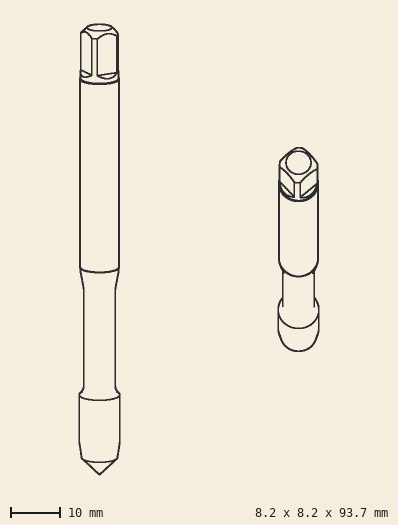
import cadquery as cq
import math

shank_d = 8.0
square_corner_d = 7.7
neck_d = 6.4
head_d = 8.2
tip_base_d = 7.3
top_face_d = 5.1
square_width = 6.2

total_length = 93.65
square_bottom_z = 84.7
shank_top_z = 82.9
shank_bottom_z = 43.55
taper_top_z = 42.4
taper_bottom_z = 38.8
flare_top_z = 18.7
head_top_z = 16.8
lead_top_z = 6.9

shank_r = shank_d / 2
collar_r = square_corner_d / 2
neck_r = neck_d / 2
head_r = head_d / 2
tip_base_r = tip_base_d / 2
top_face_r = top_face_d / 2
shank_chamfer = shank_r - collar_r
top_chamfer = collar_r - top_face_r
tip_height = tip_base_r

flare_height = flare_top_z - head_top_z
flare_width = head_r - neck_r
flare_r = (flare_height**2 + flare_width**2) / (2 * flare_width)
flare_half_angle = math.asin(flare_height / flare_r) / 2
flare_mid = (
    neck_r + flare_r * (1 - math.cos(flare_half_angle)),
    flare_top_z - flare_r * math.sin(flare_half_angle),
)


def revolve_profile(profile):
    """Turn a closed (radius, height) outline about the Z axis."""
    return profile.close().revolve(360, (0, 0, 0), (0, 1, 0))


def drive_square_cutter():
    """Ring that leaves a square post, with a floor sloping down outward at 45 degrees."""
    cut_height = total_length - square_bottom_z
    floor_drop = collar_r - square_width / 2
    blank_width = square_width + 2 * floor_drop
    post = cq.Workplane("XY").workplane(offset=square_bottom_z).rect(square_width, square_width)
    post = post.extrude(cut_height)
    base = (
        cq.Workplane("XY").workplane(offset=square_bottom_z - floor_drop)
        .rect(blank_width, blank_width)
        .workplane(offset=floor_drop).rect(square_width, square_width).loft(ruled=True)
    )
    blank = cq.Workplane("XY").workplane(offset=square_bottom_z - floor_drop)
    blank = blank.rect(blank_width, blank_width).extrude(cut_height + floor_drop)
    return blank.cut(base).cut(post)


def make_shank():
    """Shank with its drive square, tapered shoulder, neck and flare."""
    profile = (
        cq.Workplane("XZ")
        .moveTo(0, head_top_z)
        .lineTo(head_r, head_top_z)
        .threePointArc(flare_mid, (neck_r, flare_top_z))
        .lineTo(neck_r, taper_bottom_z)
        .lineTo(collar_r, taper_top_z)
        .lineTo(collar_r, shank_bottom_z - shank_chamfer)
        .lineTo(shank_r, shank_bottom_z)
        .lineTo(shank_r, shank_top_z)
        .lineTo(collar_r, shank_top_z + shank_chamfer)
        .lineTo(collar_r, total_length - top_chamfer)
        .lineTo(top_face_r, total_length)
        .lineTo(0, total_length)
    )
    return revolve_profile(profile).cut(drive_square_cutter())


def make_head():
    """Working head with a tapered lead and a conical point."""
    profile = (
        cq.Workplane("XZ")
        .lineTo(tip_base_r, tip_height)
        .lineTo(head_r, lead_top_z)
        .lineTo(head_r, head_top_z)
        .lineTo(0, head_top_z)
    )
    return revolve_profile(profile)


shank = make_shank()
head = make_head()
result = cq.Compound.makeCompound([shank.val(), head.val()])